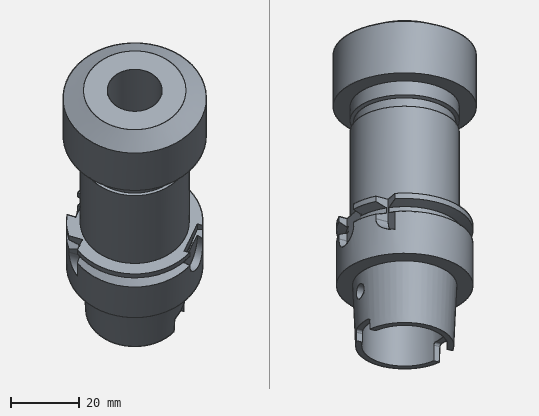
import cadquery as cq

TOTAL_HEIGHT = 100.0
FLANGE_BOTTOM = 20.0
FLANGE_TOP = 40.0
NECK_GROOVE_BOTTOM = 71.0
NECK_GROOVE_TOP = 74.3
COLLAR_BOTTOM = 74.8
NUT_BOTTOM = 79.4
NUT_SHOULDER = 96.5

SHANK_END_RADIUS = 14.4
SHANK_TOP_RADIUS = 15.3
SHANK_MIDDLE_RADIUS = 14.8
FLANGE_RADIUS = 20.0
NECK_RADIUS = 16.0
NECK_GROOVE_RADIUS = 15.0
NUT_RADIUS = 21.0
NUT_FACE_RADIUS = 15.0

V_GROOVE_RADIUS = 17.2
V_GROOVE_LOW = 34.0
V_GROOVE_FLOOR_LOW = 35.3
V_GROOVE_FLOOR_HIGH = 37.0
V_GROOVE_HIGH = 38.2

COLLET_BORE_RADIUS = 8.0
COLLET_BORE_DEPTH = 30.0
SHANK_BORE_RADIUS = 12.6
SHANK_BORE_DEPTH = 20.0
CROSS_HOLE_DIAMETER = 4.6
CROSS_HOLE_HEIGHT = 14.2

NOTCH_WIDTH = 8.8
NOTCH_BOTTOM = 28.1
KEY_FLOOR_X = 16.8
WIDE_KEY_WIDTH = 11.0
WIDE_KEY_FLOOR_X = 17.5
CORNER_NOTCH_FLOOR_X = 12.0
CORNER_NOTCH_Y = -16.2

DRIVE_SLOT_WIDTH = 8.1
DRIVE_SLOT_FILLET = 0.8
SHALLOW_SLOT_DEPTH = 3.6
DEEP_SLOT_DEPTH = 6.0

CUT_REACH = 30.0


def turned_body():
    upper_profile = [
        (FLANGE_RADIUS, FLANGE_BOTTOM),
        (FLANGE_RADIUS, V_GROOVE_LOW),
        (V_GROOVE_RADIUS, V_GROOVE_FLOOR_LOW),
        (V_GROOVE_RADIUS, V_GROOVE_FLOOR_HIGH),
        (FLANGE_RADIUS, V_GROOVE_HIGH),
        (FLANGE_RADIUS, FLANGE_TOP),
        (NECK_RADIUS, FLANGE_TOP),
        (NECK_RADIUS, NECK_GROOVE_BOTTOM),
        (NECK_GROOVE_RADIUS, NECK_GROOVE_BOTTOM),
        (NECK_GROOVE_RADIUS, NECK_GROOVE_TOP),
        (NECK_RADIUS, COLLAR_BOTTOM),
        (NECK_RADIUS, NUT_BOTTOM),
        (NUT_RADIUS, NUT_BOTTOM),
        (NUT_RADIUS, NUT_SHOULDER),
        (NUT_FACE_RADIUS, TOTAL_HEIGHT),
        (0, TOTAL_HEIGHT),
    ]
    return (
        cq.Workplane("XZ")
        .lineTo(SHANK_END_RADIUS, 0)
        .threePointArc((SHANK_MIDDLE_RADIUS, FLANGE_BOTTOM / 2), (SHANK_TOP_RADIUS, FLANGE_BOTTOM))
        .polyline(upper_profile, includeCurrent=True)
        .close()
        .revolve(360, (0, 0), (0, 1))
    )


def bores():
    collet_bore = (
        cq.Workplane("XY", origin=(0, 0, TOTAL_HEIGHT))
        .circle(COLLET_BORE_RADIUS)
        .extrude(-COLLET_BORE_DEPTH)
    )
    shank_bore = cq.Workplane("XY").circle(SHANK_BORE_RADIUS).extrude(SHANK_BORE_DEPTH)
    cross_hole = (
        cq.Workplane("YZ")
        .center(0, CROSS_HOLE_HEIGHT)
        .circle(CROSS_HOLE_DIAMETER / 2)
        .extrude(CUT_REACH, both=True)
    )
    return collet_bore.union(shank_bore).union(cross_hole)


def flange_notch(width, floor_x, center_y, side):
    """Notch open at the top and outside; side is -1 or 1 for the -X or +X side."""
    half_width = width / 2
    arc_height = NOTCH_BOTTOM + half_width
    return (
        cq.Workplane("YZ", origin=(side * floor_x, center_y, 0))
        .moveTo(-half_width, FLANGE_TOP)
        .lineTo(-half_width, arc_height)
        .threePointArc((0, NOTCH_BOTTOM), (half_width, arc_height))
        .lineTo(half_width, FLANGE_TOP)
        .close()
        .extrude(side * CUT_REACH)
    )


def drive_slot(depth, side):
    """Slot in the shank end, from the axis outward, with rounded upper corners."""
    return (
        cq.Workplane("XY")
        .box(CUT_REACH, DRIVE_SLOT_WIDTH, depth, centered=(True, True, False))
        .edges("|X and >Z")
        .fillet(DRIVE_SLOT_FILLET)
        .translate((side * CUT_REACH / 2, 0, 0))
    )


result = turned_body().cut(bores())
result = result.cut(flange_notch(NOTCH_WIDTH, KEY_FLOOR_X, 0, -1))
result = result.cut(flange_notch(WIDE_KEY_WIDTH, WIDE_KEY_FLOOR_X, 0, 1))
result = result.cut(flange_notch(NOTCH_WIDTH, CORNER_NOTCH_FLOOR_X, CORNER_NOTCH_Y, -1))
result = result.cut(drive_slot(SHALLOW_SLOT_DEPTH, -1))
result = result.cut(drive_slot(DEEP_SLOT_DEPTH, 1))